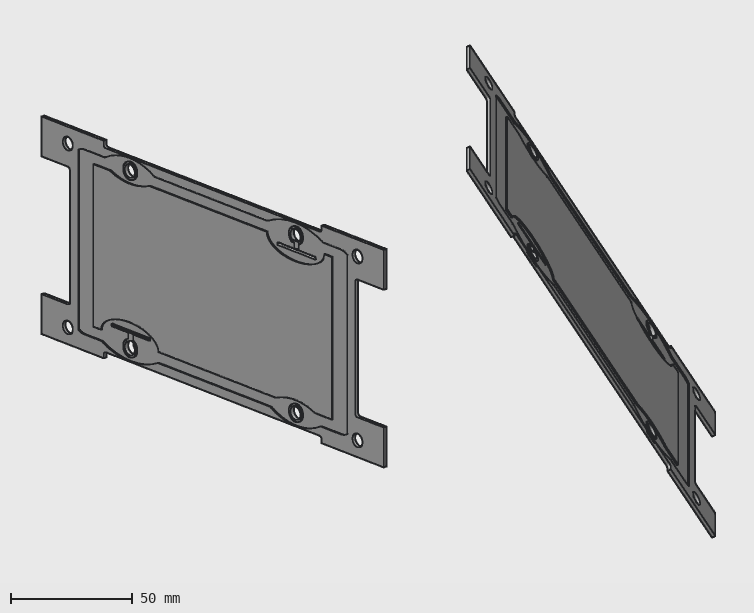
import cadquery as cq
import math

length = 204.0
height = 96.0
total_depth = 2.7
plate_depth = 1.6
edge_half_height = 45.0
edge_half_length = 64.9
waist_half_length = 85.0
arm_inner_z = 30.4
corner_radius = 1.2

mount_x = 86.3
mount_z = 40.5
hole_diameter = 6.0

port_x = 49.4
port_z = 39.2
collar_diameter = 8.0
collar_height = 0.5

groove_depth = 0.6
groove_half_length = 80.2
groove_half_height = 40.8
groove_corner_radius = 6.1
groove_corner_length = 3.7
field_half_length = 71.0
field_half_height = 36.0

pocket_half_height = 5.7
plain_pocket_radius = 29.5
feed_pocket_radius = 36.7
feed_half_length = 17.1
feed_half_height = 8.2

slot_length = 23.0
slot_width = 1.2
slot_z = 32.2
channel_radius = 2.5
channel_width = 2.9

rear_half_length = edge_half_length
rear_half_height = 32.0

front_y = -total_depth / 2
back_y = total_depth / 2
plate_back_y = front_y + plate_depth
groove_floor_y = front_y + groove_depth

feed_signs = [(1, 1), (-1, -1)]
plain_signs = [(-1, 1), (1, -1)]
all_signs = feed_signs + plain_signs


def xz_plane(y):
    """Sketch plane at depth y with local axes X and Z; positive extrusion runs towards -Y."""
    return cq.Workplane("XZ", origin=(0, y, 0))


def box_between(half_x, half_z, y_front, y_back):
    return xz_plane(y_back).rect(2 * half_x, 2 * half_z).extrude(y_back - y_front)


def discs(points, diameter, y_front, y_back):
    return xz_plane(y_back).pushPoints(points).circle(diameter / 2).extrude(y_back - y_front)


def make_plate():
    plate = box_between(length / 2, height / 2, front_y, plate_back_y)
    waist_gap = length / 2 - waist_half_length
    edge_gap = height / 2 - edge_half_height
    for side in (-1, 1):
        side_notch = (
            xz_plane(plate_back_y)
            .center(side * (length - waist_gap) / 2, 0)
            .rect(waist_gap, 2 * arm_inner_z)
            .extrude(plate_depth)
            .edges("|Y")
            .edges("<X" if side > 0 else ">X")
            .fillet(corner_radius)
        )
        edge_notch = (
            xz_plane(plate_back_y)
            .center(0, side * (height - edge_gap) / 2)
            .rect(2 * edge_half_length, edge_gap)
            .extrude(plate_depth)
            .edges("|Y")
            .edges("<Z" if side > 0 else ">Z")
            .fillet(corner_radius)
        )
        plate = plate.cut(side_notch).cut(edge_notch)
    return plate


def make_groove_outline():
    """Rectangle whose short sides meet the long sides through arcs tangent to the long sides."""
    corner_x = groove_half_length - groove_corner_length

    def arc_point(angle):
        x = corner_x + groove_corner_radius * math.sin(angle)
        z = groove_half_height - groove_corner_radius * (1 - math.cos(angle))
        return x, z

    sweep = math.asin(groove_corner_length / groove_corner_radius)
    mid_x, mid_z = arc_point(sweep / 2)
    end_x, end_z = arc_point(sweep)
    return (
        xz_plane(groove_floor_y)
        .moveTo(-corner_x, groove_half_height)
        .lineTo(corner_x, groove_half_height)
        .threePointArc((mid_x, mid_z), (end_x, end_z))
        .lineTo(end_x, -end_z)
        .threePointArc((mid_x, -mid_z), (corner_x, -groove_half_height))
        .lineTo(-corner_x, -groove_half_height)
        .threePointArc((-mid_x, -mid_z), (-end_x, -end_z))
        .lineTo(-end_x, end_z)
        .threePointArc((-mid_x, mid_z), (-corner_x, groove_half_height))
        .close()
        .extrude(groove_depth)
    )


def make_lens(x, z, radius):
    """Pocket between two equal arcs, centred on a port."""
    half_length = math.sqrt(radius**2 - (radius - pocket_half_height) ** 2)
    return (
        xz_plane(groove_floor_y)
        .moveTo(x - half_length, z)
        .threePointArc((x, z + pocket_half_height), (x + half_length, z))
        .threePointArc((x, z - pocket_half_height), (x - half_length, z))
        .close()
        .extrude(groove_depth)
    )


def make_feed_ellipse(x, z):
    return (
        xz_plane(groove_floor_y)
        .center(x, z)
        .ellipse(feed_half_length, feed_half_height)
        .extrude(groove_depth)
    )


def make_groove():
    field = box_between(field_half_length, field_half_height, front_y, groove_floor_y)
    groove = make_groove_outline().cut(field)
    for sx, sz in plain_signs:
        groove = groove.union(make_lens(sx * port_x, sz * port_z, plain_pocket_radius))
    for sx, sz in feed_signs:
        groove = groove.union(make_lens(sx * port_x, sz * port_z, feed_pocket_radius))
        groove = groove.union(make_feed_ellipse(sx * port_x, sz * field_half_height))
    return groove


def make_slot(sx, sz):
    """Round-ended feed slot through the plate and the edge of the rear field."""
    return (
        xz_plane(back_y)
        .center(sx * port_x, sz * slot_z)
        .slot2D(slot_length, slot_width)
        .extrude(total_depth)
    )


def make_channel(sx, sz):
    """Shallow round-bottomed channel in the groove floor, from the port to the slot."""
    axis_y = groove_floor_y - math.sqrt(channel_radius**2 - (channel_width / 2) ** 2)
    return (
        cq.Workplane("XY", origin=(sx * port_x, axis_y, sz * slot_z))
        .circle(channel_radius)
        .extrude(sz * (port_z - slot_z))
    )


mount_points = [(sx * mount_x, sz * mount_z) for sx, sz in all_signs]
port_points = [(sx * port_x, sz * port_z) for sx, sz in all_signs]

rear_field = box_between(rear_half_length, rear_half_height, plate_back_y, back_y)
collars = discs(port_points, collar_diameter, front_y, plate_back_y + collar_height)
holes = discs(port_points + mount_points, hole_diameter, front_y, back_y)

result = make_plate().cut(make_groove()).union(rear_field).union(collars).cut(holes)
for sx, sz in feed_signs:
    result = result.cut(make_slot(sx, sz)).cut(make_channel(sx, sz))